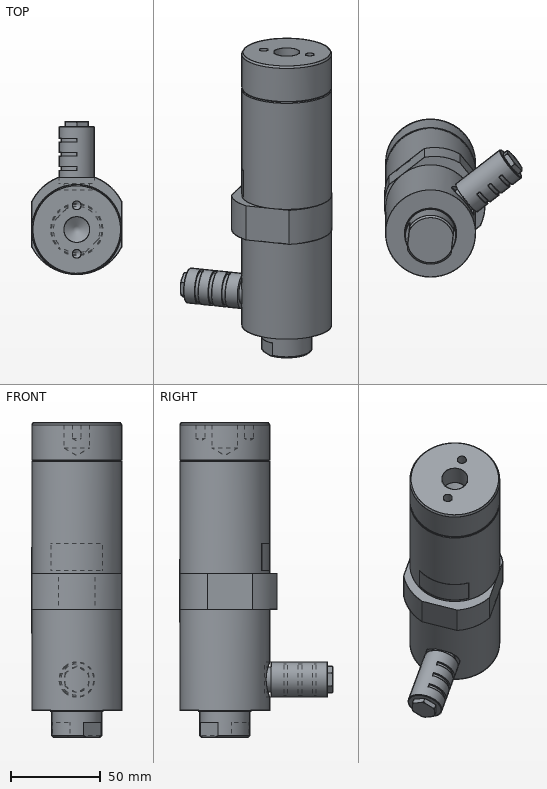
import cadquery as cq
import math

total_height = 175.0
spindle_length = 15.0
collar_bottom = 71.2
collar_height = 20.0
cap_height = 21.2
housing_top = total_height - cap_height

body_radius = 25.0
joint_chamfer = 0.5

collar_radius = 28.0
collar_offset = collar_radius - body_radius
collar_back = 29.0

label_bottom = 92.8
label_height = 15.0
label_width = 28.7
label_thickness = 0.09

rim_chamfer_width = 1.2
rim_chamfer_height = 0.7
port_radius = 7.2
port_depth = 14.0
pin_hole_radius = 2.5
pin_hole_depth = 8.8
pin_hole_offset = 13.5
drill_tip_angle = 118.0

spindle_radius = 14.0
spindle_chamfer = 1.0
lip_radius = 14.5
lip_height = 0.5
across_flats = 24.5
flat_height = 8.2
flat_direction = -45.0

connector_z = 32.2
connector_end = 60.0
hex_length = 2.8
sleeve_radius = 9.8
sleeve_start = 25.7
sleeve_end = connector_end - hex_length
sleeve_chamfer = 0.4
neck_radius = 7.0
socket_radius = 9.8
socket_floor = 22.0
groove_depth = 1.0
groove_width = 2.1
groove_count = 3
groove_pitch = 7.9
first_groove_y = 34.0
hex_across_corners = 14.9
hex_chamfer = 0.5


def y_cylinder(radius, start, end):
    """Cylinder on the connector axis from Y = start to Y = end."""
    axis_start = cq.Vector(0, start, connector_z)
    return cq.Workplane(cq.Solid.makeCylinder(radius, end - start, axis_start, cq.Vector(0, 1, 0)))


def z_cylinder(radius, bottom, height):
    """Cylinder on the main axis."""
    return cq.Workplane("XY").workplane(offset=bottom).circle(radius).extrude(height)


def make_collar():
    """Eccentric disc with two side flats level with the housing and one rear flat."""
    disc = z_cylinder(collar_radius, collar_bottom, collar_height).translate((0, collar_offset, 0))
    limits = (
        cq.Workplane("XY")
        .workplane(offset=collar_bottom)
        .center(0, collar_back - collar_radius)
        .rect(2 * body_radius, 2 * collar_radius)
        .extrude(collar_height)
    )
    return disc.intersect(limits)


def make_housing():
    collar_top = collar_bottom + collar_height
    lower = z_cylinder(body_radius, spindle_length, collar_bottom - spindle_length)
    upper = z_cylinder(body_radius, collar_top, housing_top - collar_top)
    upper = upper.faces(">Z").chamfer(joint_chamfer)
    socket = y_cylinder(socket_radius, socket_floor, sleeve_start)
    return lower.union(make_collar()).union(upper).cut(socket)


def drilled_hole(radius, depth, y):
    """Blind hole down from the cap top with a conical drill tip."""
    tip_depth = radius / math.tan(math.radians(drill_tip_angle / 2))
    profile = [(0, 0), (radius, 0), (radius, -depth), (0, -depth - tip_depth)]
    hole = cq.Workplane("XZ").polyline(profile).close().revolve(360, (0, 0), (0, 1))
    return hole.translate((0, y, total_height))


def make_cap():
    cap = z_cylinder(body_radius, housing_top, cap_height)
    cap = cap.faces("<Z").chamfer(joint_chamfer)
    cap = cap.faces(">Z").chamfer(rim_chamfer_width, rim_chamfer_height)
    cap = cap.cut(drilled_hole(port_radius, port_depth, 0))
    for side in (-1, 1):
        cap = cap.cut(drilled_hole(pin_hole_radius, pin_hole_depth, side * pin_hole_offset))
    return cap


def make_label():
    """Curved plate lying on the back of the housing."""
    shell = z_cylinder(body_radius + label_thickness, label_bottom, label_height).cut(
        z_cylinder(body_radius, label_bottom, label_height)
    )
    window = (
        cq.Workplane("XY")
        .workplane(offset=label_bottom)
        .center(0, body_radius)
        .rect(label_width, body_radius)
        .extrude(label_height)
    )
    return shell.intersect(window)


def make_spindle():
    spindle = z_cylinder(spindle_radius, 0, spindle_length)
    spindle = spindle.faces("<Z").chamfer(spindle_chamfer)
    spindle = spindle.union(z_cylinder(lip_radius, spindle_length - lip_height, lip_height))
    for direction in (flat_direction, flat_direction + 180):
        beyond_flat = (
            cq.Workplane("XY")
            .center(across_flats / 2 + spindle_radius / 2, 0)
            .rect(spindle_radius, 2 * spindle_radius)
            .extrude(flat_height)
            .rotate((0, 0, 0), (0, 0, 1), direction)
        )
        spindle = spindle.cut(beyond_flat)
    return spindle


def make_half_groove(y):
    """Square groove, centred on Y = y, around the -X half of the sleeve."""
    start = y - groove_width / 2
    end = y + groove_width / 2
    ring = y_cylinder(sleeve_radius, start, end).cut(y_cylinder(sleeve_radius - groove_depth, start, end))
    half_space = cq.Workplane("XY").box(2 * sleeve_radius, groove_width, 2 * sleeve_radius)
    return ring.intersect(half_space.translate((-sleeve_radius, y, connector_z)))


def make_sleeve():
    sleeve = y_cylinder(sleeve_radius, sleeve_start, sleeve_end)
    sleeve = sleeve.faces(">Y").chamfer(sleeve_chamfer)
    for index in range(groove_count):
        sleeve = sleeve.cut(make_half_groove(first_groove_y + index * groove_pitch))
    return sleeve


def make_hex_end():
    """Hexagon with corners up and down, its outer corners bevelled by a cone."""
    hexagon = (
        cq.Workplane("XZ", origin=(0, connector_end, connector_z))
        .polygon(6, hex_across_corners)
        .extrude(hex_length)
        .rotate((0, 0, connector_z), (0, 1, connector_z), 30)
    )
    envelope = y_cylinder(hex_across_corners / 2, sleeve_end, connector_end)
    return hexagon.intersect(envelope.faces(">Y").chamfer(hex_chamfer))


def make_connector():
    neck = y_cylinder(neck_radius, socket_floor, sleeve_start)
    return make_sleeve().union(neck).union(make_hex_end())


housing = make_housing()
cap = make_cap()
label = make_label()
spindle = make_spindle()
connector = make_connector()

result = cq.Compound.makeCompound([housing.val(), cap.val(), label.val(), spindle.val(), connector.val()])